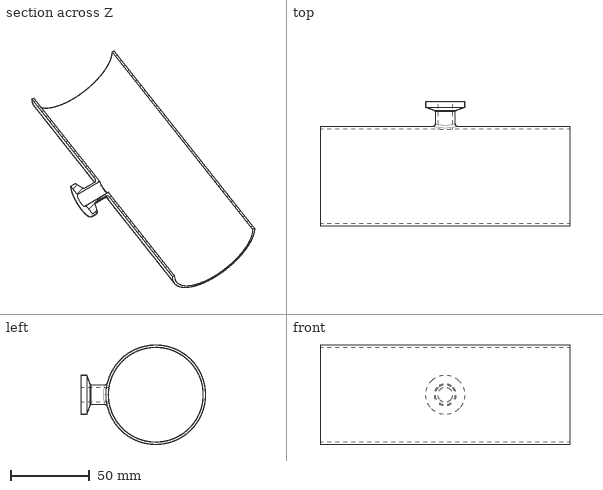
import cadquery as cq
import math

tube_length = 158.75
tube_diameter = 63.5
tube_bore = 60.2
tube_radius = tube_diameter / 2

overall_depth = 79.375
ferrule_face_y = overall_depth - tube_radius
flange_diameter = 24.99
flange_rim_width = 3.8
flange_edge_round = 0.4
flange_back_depth = 5.8
flange_back_diameter = 14.0
flange_root_bevel = 0.6
neck_diameter = 12.7
neck_bore = 9.4
weld_radius = 1.6


def along_y(diameter, start_y, end_y):
    """Cylinder on the Y axis between two Y positions."""
    plane = cq.Plane(origin=(0, start_y, 0), xDir=(1, 0, 0), normal=(0, 1, 0))
    return cq.Workplane(plane).circle(diameter / 2).extrude(end_y - start_y)


def along_x(diameter):
    """Cylinder on the X axis over the whole tube length."""
    return cq.Workplane("YZ").circle(diameter / 2).extrude(tube_length / 2, both=True)


def make_flange():
    """Clamp flange with a rounded face edge, a conical back and a bevelled root."""
    flange_radius = flange_diameter / 2
    rim_back_y = ferrule_face_y - flange_rim_width
    cone_end_y = ferrule_face_y - flange_back_depth
    profile = (
        cq.Workplane("XY")
        .moveTo(0, ferrule_face_y)
        .lineTo(flange_radius - flange_edge_round, ferrule_face_y)
        .radiusArc((flange_radius, ferrule_face_y - flange_edge_round), flange_edge_round)
        .lineTo(flange_radius, rim_back_y)
        .lineTo(flange_back_diameter / 2, cone_end_y)
        .lineTo(neck_diameter / 2, cone_end_y - flange_root_bevel)
        .lineTo(0, cone_end_y - flange_root_bevel)
        .close()
    )
    return profile.revolve(360, (0, 0, 0), (0, 1, 0))


def make_welded_neck():
    """Solid tube and neck, with a weld fillet where they meet."""
    neck_end_y = ferrule_face_y - flange_rim_width
    body = along_x(tube_diameter).union(along_y(neck_diameter, 0, neck_end_y))
    saddle_depth = tube_radius - math.sqrt(tube_radius**2 - (neck_diameter / 2) ** 2)
    joint_box = cq.selectors.BoxSelector(
        (-neck_diameter, tube_radius - saddle_depth, -neck_diameter),
        (neck_diameter, tube_radius + saddle_depth, neck_diameter),
    )
    return body.edges(joint_box).fillet(weld_radius)


body = make_welded_neck().union(make_flange())
result = body.cut(along_x(tube_bore)).cut(along_y(neck_bore, 0, ferrule_face_y))